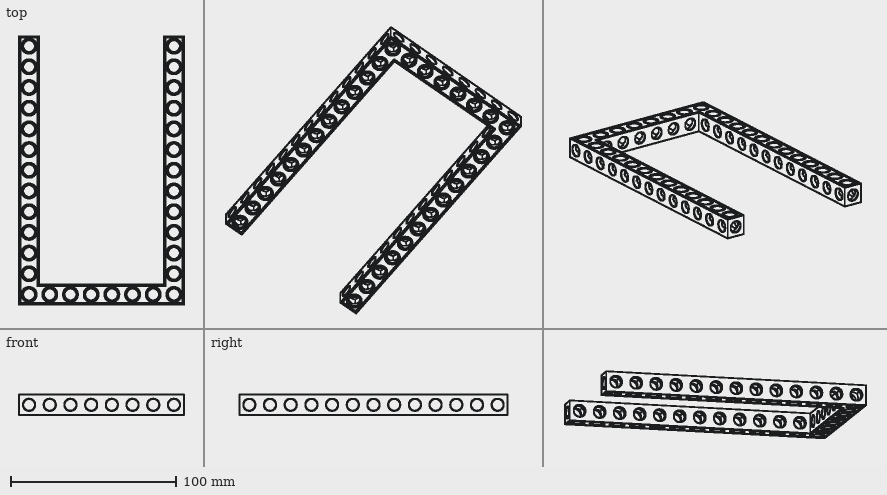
import cadquery as cq
length = 162.5
beam_width = 12.2
beam_height = 12.5
cells_y = 13
cells_x = 8
pitch = (length - beam_width) / (cells_y - 1)
width = (cells_x - 1) * pitch + beam_width

hole_diameter = 7.0
mouth_chamfer = 0.3

rim_width = 1.1
recess_depth = 0.2
collar_diameter = 9.3

edge_chamfer = 0.2

columns = [beam_width / 2 - width / 2 + i * pitch for i in range(cells_x)]
rows = [beam_width / 2 + i * pitch for i in range(cells_y)]
arm_columns = (columns[0], columns[-1])
cross_beam_points = [(x, rows[0]) for x in columns]
arm_points = [(x, y) for x in arm_columns for y in rows[1:]]
vertical_points = cross_beam_points + arm_points


def u_prism(inset, height):
    """U-shaped prism on the XY plane with every side moved inwards by the inset."""
    half_outer = width / 2 - inset
    half_gap = width / 2 - beam_width + inset
    front = inset
    gap_end = beam_width - inset
    back = length - inset
    outline = [
        (-half_outer, front),
        (half_outer, front),
        (half_outer, back),
        (half_gap, back),
        (half_gap, gap_end),
        (-half_gap, gap_end),
        (-half_gap, back),
        (-half_outer, back),
    ]
    return cq.Workplane("XY").polyline(outline).close().extrude(height)


def recess_tool():
    """Recess volume inside the rim, with the collars left standing."""
    collars = (
        cq.Workplane("XY")
        .pushPoints(vertical_points)
        .circle(collar_diameter / 2)
        .extrude(recess_depth)
    )
    return u_prism(rim_width, recess_depth).cut(collars)


def hole_profile(depth):
    """Half section of a hole through one beam, chamfered at both mouths, to turn about its axis."""
    bore = hole_diameter / 2
    mouth = bore + mouth_chamfer
    return [
        (0, 0),
        (mouth, 0),
        (bore, mouth_chamfer),
        (bore, depth - mouth_chamfer),
        (mouth, depth),
        (0, depth),
    ]


def hole_tool(depth):
    """Hole cutter standing on the XY plane, centred on the Z axis."""
    return cq.Workplane("XZ").polyline(hole_profile(depth)).close().revolve(360, (0, 0), (0, 1)).val()


def cut_holes(body, tool, points):
    """Cut a copy of the tool at every point."""
    copies = [tool.translate(cq.Vector(*point)) for point in points]
    return body.cut(cq.Workplane(cq.Compound.makeCompound(copies)))


result = u_prism(0, beam_height).faces("<Z or >Z").edges().chamfer(edge_chamfer)
recess = recess_tool()
result = result.cut(recess).cut(recess.translate((0, 0, beam_height - recess_depth)))

result = cut_holes(result, hole_tool(beam_height), [(x, y, 0) for x, y in vertical_points])

mid_height = beam_height / 2
origin = cq.Vector(0, 0, 0)
x_axis = cq.Vector(1, 0, 0)
beam_hole_y = hole_tool(beam_width).rotate(origin, x_axis, -90)
arm_bore = hole_tool(length).rotate(origin, x_axis, -90)
result = cut_holes(result, beam_hole_y, [(x, 0, mid_height) for x in columns[1:-1]])
result = cut_holes(result, arm_bore, [(x, 0, mid_height) for x in arm_columns])

y_axis = cq.Vector(0, 1, 0)
beam_hole_x = hole_tool(beam_width).rotate(origin, y_axis, 90)
cross_beam_bore = hole_tool(width).rotate(origin, y_axis, 90)
for arm_side in (-width / 2, width / 2 - beam_width):
    result = cut_holes(result, beam_hole_x, [(arm_side, y, mid_height) for y in rows[1:]])
result = cut_holes(result, cross_beam_bore, [(-width / 2, rows[0], mid_height)])